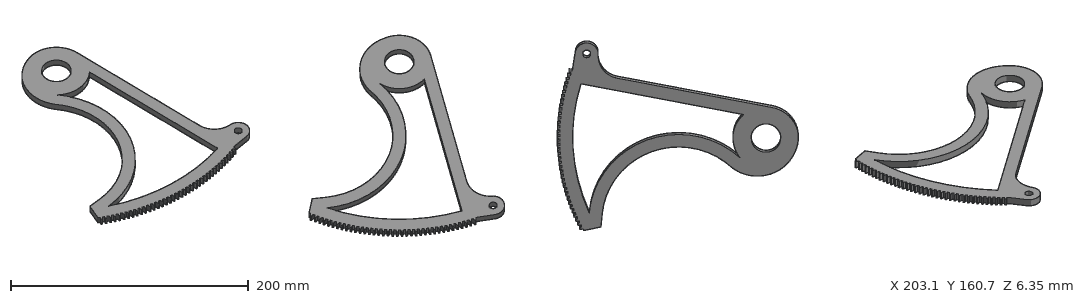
import cadquery as cq
import math

thickness = 6.35
hub_radius = 27.35
window_hub_radius = 27.85
bore_radius = 12.4

gear_module = 1.25
full_circle_teeth = 279
tooth_pitch = 360 / full_circle_teeth
first_tooth = -12
last_tooth = 24
tooth_phase = 0.707
pitch_radius = gear_module * full_circle_teeth / 2
tooth_addendum = 1.38
tip_radius = pitch_radius + tooth_addendum
root_radius = 173.5
tooth_root_width = 2.5
tooth_tip_width = 1.1
tooth_overlap = 0.3
rim_inner_radius = 162.6
foot_y = -46.97

arm_angle = 23.4
arm_inner_offset = 16.5

bow_x = 87.1
bow_y = -55.15
bow_outer_radius = 75.5
bow_inner_radius = 64.45
bow_straight_angle = 17.6

swell_x = 6.9
swell_y = 2.3
swell_radius = 34.3

lug_x = 131.8
lug_y = 104.12
lug_radius = 9.65
eye_radius = 3.3
lug_fillet_radius = 20.0
lug_edge_angle = 20.7


def polar(radius, angle, center=(0, 0)):
    """Point at a radius and an angle in degrees about a center."""
    turn = math.radians(angle)
    return (center[0] + radius * math.cos(turn), center[1] + radius * math.sin(turn))


def direction(start, end):
    """Angle in degrees of the line from start to end."""
    return math.degrees(math.atan2(end[1] - start[1], end[0] - start[0]))


def along_arm(distance, offset):
    """Point at a distance along the arm direction and an offset to its upper side."""
    return polar(offset, arm_angle + 90, polar(distance, arm_angle))


def circles_crossing(center_a, radius_a, center_b, radius_b, side):
    """Crossing of two circles; side +1 is left of the direction from a to b, -1 is right."""
    gap = math.dist(center_a, center_b)
    reach = (radius_a**2 - radius_b**2 + gap**2) / (2 * gap)
    swing = math.degrees(math.acos(reach / radius_a))
    return polar(radius_a, direction(center_a, center_b) + side * swing, center_a)


hub = (0, 0)
bow = (bow_x, bow_y)
lug = (lug_x, lug_y)
swell = (swell_x, swell_y)


def outline():
    """Solid plate within the outer edge, without the teeth."""
    slope = math.radians(arm_angle)
    fillet_offset = hub_radius + lug_fillet_radius
    lug_along = lug_x * math.cos(slope) + lug_y * math.sin(slope)
    lug_offset = lug_y * math.cos(slope) - lug_x * math.sin(slope)
    reach = math.sqrt((lug_radius + lug_fillet_radius) ** 2 - (lug_offset - fillet_offset) ** 2)
    fillet = along_arm(lug_along - reach, fillet_offset)
    to_lug = direction(fillet, lug)
    arm_end = polar(lug_fillet_radius, arm_angle - 90, fillet)
    fillet_mid = polar(lug_fillet_radius, (arm_angle - 90 + to_lug) / 2, fillet)
    fillet_end = polar(lug_fillet_radius, to_lug, fillet)

    lug_mid_angle = (to_lug + 180 + lug_edge_angle) / 2
    lug_end = polar(lug_radius, lug_edge_angle, lug)
    edge_distance = lug_radius + math.dist(hub, lug) * math.cos(
        math.radians(direction(hub, lug) - lug_edge_angle)
    )
    rim_top_angle = lug_edge_angle + math.degrees(math.acos(edge_distance / root_radius))

    foot_angle = math.degrees(math.asin(foot_y / root_radius))
    bow_end = polar(bow_inner_radius, bow_straight_angle, bow)
    foot_x = bow_end[0] + (bow_end[1] - foot_y) * math.tan(math.radians(bow_straight_angle))
    swell_at_bow = circles_crossing(swell, swell_radius, bow, bow_inner_radius, -1)
    swell_at_hub = circles_crossing(hub, hub_radius, swell, swell_radius, -1)

    return (
        cq.Workplane("XY")
        .moveTo(*polar(hub_radius, arm_angle + 90))
        .lineTo(*arm_end)
        .threePointArc(fillet_mid, fillet_end)
        .threePointArc(polar(lug_radius, lug_mid_angle, lug), lug_end)
        .lineTo(*polar(root_radius, rim_top_angle))
        .threePointArc(polar(root_radius, 0), polar(root_radius, foot_angle))
        .lineTo(foot_x, foot_y)
        .lineTo(*bow_end)
        .threePointArc(polar(bow_inner_radius, 90, bow), swell_at_bow)
        .threePointArc(polar(swell_radius, 270, swell), swell_at_hub)
        .threePointArc(polar(hub_radius, 180), polar(hub_radius, arm_angle + 90))
        .close()
        .extrude(thickness)
    )


def window():
    """Opening between the arm, the rim, the bow and the hub."""
    arm_at_hub = along_arm(math.sqrt(window_hub_radius**2 - arm_inner_offset**2), arm_inner_offset)
    arm_at_rim = along_arm(math.sqrt(rim_inner_radius**2 - arm_inner_offset**2), arm_inner_offset)
    bow_at_rim = circles_crossing(hub, rim_inner_radius, bow, bow_outer_radius, 1)
    bow_at_hub = circles_crossing(hub, window_hub_radius, bow, bow_outer_radius, 1)
    return (
        cq.Workplane("XY")
        .moveTo(*arm_at_hub)
        .lineTo(*arm_at_rim)
        .threePointArc(polar(rim_inner_radius, 0), bow_at_rim)
        .threePointArc(polar(bow_outer_radius, 90, bow), bow_at_hub)
        .threePointArc(polar(window_hub_radius, 0), arm_at_hub)
        .close()
        .extrude(thickness)
    )


def tooth(index):
    """One tapered rim tooth, sunk slightly into the rim so that it joins."""
    sunk = root_radius - tooth_overlap
    return (
        cq.Workplane("XY")
        .polyline([
            (sunk, -tooth_root_width / 2),
            (tip_radius, -tooth_tip_width / 2),
            (tip_radius, tooth_tip_width / 2),
            (sunk, tooth_root_width / 2),
        ])
        .close()
        .extrude(thickness)
        .rotate((0, 0, 0), (0, 0, 1), index * tooth_pitch + tooth_phase)
    )


def hole(center, radius):
    return cq.Workplane("XY").center(*center).circle(radius).extrude(thickness)


result = outline().cut(window()).cut(hole(hub, bore_radius)).cut(hole(lug, eye_radius))
for index in range(first_tooth, last_tooth + 1):
    result = result.union(tooth(index))